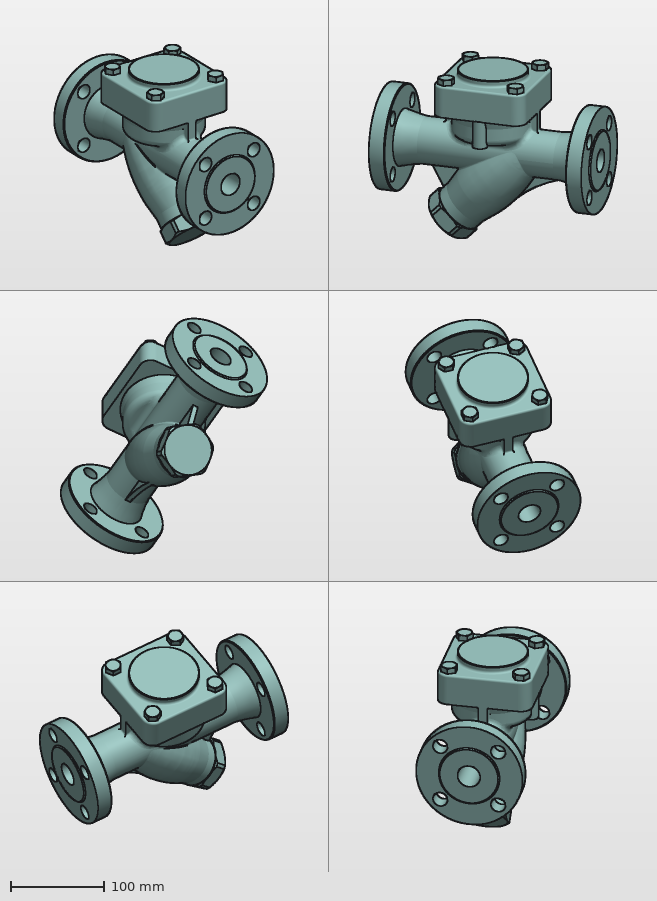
import cadquery as cq
import math

FACE_TO_FACE = 245.0
RAISED_FACE_HEIGHT = 1.5
RAISED_FACE_TIP_DIAMETER = 64.0
RAISED_FACE_ROOT_DIAMETER = 67.0
FLANGE_DIAMETER = 117.0
FLANGE_THICKNESS = 18.0
FLANGE_CHAMFER = 1.0
BOLT_HOLE_DIAMETER = 16.0
BOLT_HOLE_CIRCLE_DIAMETER = 90.0
BORE_DIAMETER = 25.0
PIPE_DIAMETER = 52.0
HUB_DIAMETER = 63.0
HUB_LENGTH = 25.5
HUB_SAG = 0.6

BONNET_SIZE = 104.0
BONNET_BOTTOM_Z = 47.3
BONNET_TOP_Z = 82.3
BONNET_CORNER_RADIUS = 13.0
BONNET_EDGE_FILLET = 2.5
DISK_DIAMETER = 76.0
DISK_TOP_Z = 90.0
DISK_CHAMFER = 0.75
DISK_ROOT_FILLET = 3.0
SCREW_CIRCLE_DIAMETER = 112.0
SCREW_ACROSS_FLATS = 16.0
SCREW_HEAD_HEIGHT = 6.5
SCREW_CHAMFER_HEIGHT = 0.6
SCREW_TURN = 30.0

BOWL_RIM_RADIUS = 47.0
BOWL_RADIUS = 44.5
BOWL_TAPER_END_Z = 36.8
BOWL_BOTTOM_Z = 15.8
BOWL_CORNER_RADIUS = 8.2
BOWL_ROOT_FILLET = 6.3
BOWL_RIB_WIDTH = 10.0
BOWL_RIB_FILLET = 2.0
REAR_BOSS_RADIUS = 8.0
REAR_BOSS_REACH = 50.2

ARM_ORIGIN_X = -34.0
ARM_ANGLE = 45.0
ARM_START = -6.0
ARM_START_RADIUS = 25.0
ARM_BELLY = 45.0
ARM_BELLY_RADIUS = 33.5
ARM_ROOT_FILLET = 1.5
ARM_NECK = 91.0
ARM_NECK_DIAMETER = 56.0
CAP_START = 103.8
CAP_LENGTH = 17.8
CAP_DIAMETER = 60.0
CAP_ACROSS_FLATS = 54.0
CAP_END_CHAMFER = 2.5
CAP_BASE_CHAMFER = 1.5

WEB_THICKNESS = 6.0
REAR_WEB_START_X = -78.0
REAR_WEB_MID = (-43.5, -41.5)
REAR_WEB_END = (-21.0, -59.7)
FRONT_WEB_START_X = 68.2
FRONT_WEB_TIP = (55.4, -49.5)

POSITION_TOLERANCE = 0.05
SAMPLE_PLACE = 0.37

PIPE_RADIUS = PIPE_DIAMETER / 2
FLANGE_BACK_X = FACE_TO_FACE / 2 - RAISED_FACE_HEIGHT - FLANGE_THICKNESS
HUB_END_X = FLANGE_BACK_X - HUB_LENGTH


def revolve_about_z(profile):
    """Close a radius-height outline and turn it about the Z axis."""
    return profile.close().revolve(360, (0, 0, 0), (0, 1, 0))


def hexagon(across_flats, height):
    """Hexagonal prism with corners on the X axis."""
    return cq.Workplane("XY").polygon(6, across_flats / math.cos(math.pi / 6)).extrude(height)


def pipe_end():
    """Half of the pipe run on the +X side, with its hub and flange."""
    hub_radius = HUB_DIAMETER / 2
    hub_mid = (FLANGE_BACK_X - HUB_LENGTH / 2, (hub_radius + PIPE_RADIUS) / 2 - HUB_SAG)
    face_x = FACE_TO_FACE / 2 - RAISED_FACE_HEIGHT
    flange_radius = FLANGE_DIAMETER / 2
    body = (
        cq.Workplane("XY")
        .moveTo(0, 0)
        .lineTo(0, PIPE_RADIUS)
        .lineTo(HUB_END_X, PIPE_RADIUS)
        .threePointArc(hub_mid, (FLANGE_BACK_X, hub_radius))
        .lineTo(FLANGE_BACK_X, flange_radius - FLANGE_CHAMFER)
        .lineTo(FLANGE_BACK_X + FLANGE_CHAMFER, flange_radius)
        .lineTo(face_x, flange_radius)
        .lineTo(face_x, RAISED_FACE_ROOT_DIAMETER / 2)
        .lineTo(FACE_TO_FACE / 2, RAISED_FACE_TIP_DIAMETER / 2)
        .lineTo(FACE_TO_FACE / 2, 0)
        .close()
        .revolve(360, (0, 0, 0), (1, 0, 0))
    )
    hole_offset = BOLT_HOLE_CIRCLE_DIAMETER / math.sqrt(2)
    holes = (
        cq.Workplane("YZ", origin=(FLANGE_BACK_X, 0, 0))
        .rect(hole_offset, hole_offset, forConstruction=True)
        .vertices()
        .circle(BOLT_HOLE_DIAMETER / 2)
        .extrude(FLANGE_THICKNESS)
    )
    return body.cut(holes)


def pipe_bore():
    """Blind bore through the flange and hub on the +X side."""
    bore_length = FACE_TO_FACE / 2 - HUB_END_X
    return cq.Workplane("YZ", origin=(HUB_END_X, 0, 0)).circle(BORE_DIAMETER / 2).extrude(bore_length)


def bowl():
    """Bowl that carries the bonnet: tapered rim, straight wall and rounded bottom."""
    corner_z = BOWL_BOTTOM_Z + BOWL_CORNER_RADIUS
    corner_r = BOWL_RADIUS - BOWL_CORNER_RADIUS
    diagonal = BOWL_CORNER_RADIUS / math.sqrt(2)
    return revolve_about_z(
        cq.Workplane("XZ")
        .moveTo(0, BOWL_BOTTOM_Z)
        .lineTo(corner_r, BOWL_BOTTOM_Z)
        .threePointArc((corner_r + diagonal, corner_z - diagonal), (BOWL_RADIUS, corner_z))
        .lineTo(BOWL_RADIUS, BOWL_TAPER_END_Z)
        .lineTo(BOWL_RIM_RADIUS, BONNET_BOTTOM_Z)
        .lineTo(0, BONNET_BOTTOM_Z)
    )


def bowl_supports():
    """Rib across the bowl that reaches both bonnet sides, and the round boss at the back."""
    rib = cq.Workplane("XY").rect(BONNET_SIZE, BOWL_RIB_WIDTH).extrude(BONNET_BOTTOM_Z)
    boss = (
        cq.Workplane("XY", origin=(0, REAR_BOSS_REACH - REAR_BOSS_RADIUS, BOWL_BOTTOM_Z))
        .circle(REAR_BOSS_RADIUS)
        .extrude(BONNET_BOTTOM_Z - BOWL_BOTTOM_Z)
    )
    return rib.union(boss)


def bonnet():
    """Square bonnet with the raised round disk on top."""
    block = (
        cq.Workplane("XY", origin=(0, 0, BONNET_BOTTOM_Z))
        .rect(BONNET_SIZE, BONNET_SIZE)
        .extrude(BONNET_TOP_Z - BONNET_BOTTOM_Z)
        .edges("|Z")
        .fillet(BONNET_CORNER_RADIUS)
        .faces(">Z")
        .edges()
        .fillet(BONNET_EDGE_FILLET)
    )
    radius = DISK_DIAMETER / 2
    root = DISK_ROOT_FILLET
    sag = root * (1 - math.sqrt(0.5))
    disk = revolve_about_z(
        cq.Workplane("XZ")
        .moveTo(0, BONNET_TOP_Z)
        .lineTo(radius + root, BONNET_TOP_Z)
        .threePointArc((radius + sag, BONNET_TOP_Z + sag), (radius, BONNET_TOP_Z + root))
        .lineTo(radius, DISK_TOP_Z - DISK_CHAMFER)
        .lineTo(radius - DISK_CHAMFER, DISK_TOP_Z)
        .lineTo(0, DISK_TOP_Z)
    )
    return block.union(disk)


def screw_head(x_side, y_side):
    """Hexagon head on one bonnet corner; diagonal neighbours share the same turn."""
    flat_radius = SCREW_ACROSS_FLATS / 2
    corner_radius = flat_radius / math.cos(math.pi / 6)
    envelope = revolve_about_z(
        cq.Workplane("XZ")
        .moveTo(0, 0)
        .lineTo(corner_radius, 0)
        .lineTo(corner_radius, SCREW_HEAD_HEIGHT - SCREW_CHAMFER_HEIGHT)
        .lineTo(flat_radius, SCREW_HEAD_HEIGHT)
        .lineTo(0, SCREW_HEAD_HEIGHT)
    )
    turn = SCREW_TURN if x_side == y_side else 0
    offset = SCREW_CIRCLE_DIAMETER / 2 / math.sqrt(2)
    return (
        hexagon(SCREW_ACROSS_FLATS, SCREW_HEAD_HEIGHT)
        .intersect(envelope)
        .rotate((0, 0, 0), (0, 0, 1), turn)
        .translate((x_side * offset, y_side * offset, BONNET_TOP_Z))
    )


def place_on_arm(solid):
    """Move a solid built along +Z onto the leaning arm axis."""
    return solid.rotate((0, 0, 0), (0, 1, 0), 90 + ARM_ANGLE).translate((ARM_ORIGIN_X, 0, 0))


def strainer_arm():
    """Barrel-shaped arm that narrows to a cylindrical neck under the cap."""
    neck_radius = ARM_NECK_DIAMETER / 2
    return place_on_arm(
        revolve_about_z(
            cq.Workplane("XZ")
            .moveTo(0, ARM_START)
            .lineTo(ARM_START_RADIUS, ARM_START)
            .spline([(ARM_BELLY_RADIUS, ARM_BELLY), (neck_radius, ARM_NECK)], includeCurrent=True)
            .lineTo(neck_radius, CAP_START)
            .lineTo(0, CAP_START)
        )
    )


def strainer_cap():
    """Hexagon cap with corners turned to a cylinder and chamfered ends."""
    radius = CAP_DIAMETER / 2
    envelope = revolve_about_z(
        cq.Workplane("XZ")
        .moveTo(0, 0)
        .lineTo(CAP_ACROSS_FLATS / 2, 0)
        .lineTo(radius, CAP_BASE_CHAMFER)
        .lineTo(radius, CAP_LENGTH - CAP_END_CHAMFER)
        .lineTo(CAP_ACROSS_FLATS / 2, CAP_LENGTH)
        .lineTo(0, CAP_LENGTH)
    )
    cap = hexagon(CAP_ACROSS_FLATS, CAP_LENGTH).intersect(envelope)
    return place_on_arm(cap.translate((0, 0, CAP_START)))


def web(outline):
    """Plate of web thickness, centred on Y = 0, from an outline in the XZ plane."""
    return outline.close().extrude(WEB_THICKNESS / 2, both=True)


def webs():
    """Curved web on the -X side of the arm and triangular web on its +X side."""
    rear = web(
        cq.Workplane("XZ")
        .moveTo(REAR_WEB_START_X, 0)
        .lineTo(REAR_WEB_START_X, -PIPE_RADIUS)
        .threePointArc(REAR_WEB_MID, REAR_WEB_END)
        .lineTo(0, 0)
    )
    front = web(
        cq.Workplane("XZ")
        .moveTo(0, 0)
        .lineTo(FRONT_WEB_START_X, 0)
        .lineTo(FRONT_WEB_START_X, -PIPE_RADIUS)
        .lineTo(*FRONT_WEB_TIP)
    )
    return rear.union(front)


def on_pipe_surface(edge):
    """True for an edge whose sample point lies on the pipe cylinder."""
    point = edge.positionAt(SAMPLE_PLACE)
    return abs(math.hypot(point.y, point.z) - PIPE_RADIUS) < POSITION_TOLERANCE


def fillet_bowl_root(body):
    """Blend the bowl into the pipe; straight stretches follow by tangency."""
    root_edges = [
        edge
        for edge in body.edges("not |X").vals()
        if on_pipe_surface(edge) and abs(edge.Center().x) < BONNET_SIZE / 2 + POSITION_TOLERANCE
    ]
    return body.newObject(root_edges).fillet(BOWL_ROOT_FILLET)


def fillet_bowl_ribs(body):
    """Blend the two ribs into the pipe, the bowl and the underside of the bonnet."""
    half_width = BOWL_RIB_WIDTH / 2
    reach = BONNET_SIZE / 2
    rib_edges = []
    for edge in body.edges().vals():
        centre = edge.Center()
        on_side = abs(abs(centre.y) - half_width) < POSITION_TOLERANCE
        between_ends = BOWL_RADIUS - half_width < abs(centre.x) < reach - POSITION_TOLERANCE
        at_end_foot = abs(abs(centre.x) - reach) < POSITION_TOLERANCE and on_pipe_surface(edge)
        if (on_side and between_ends) or at_end_foot:
            rib_edges.append(edge)
    return body.newObject(rib_edges).fillet(BOWL_RIB_FILLET)


def fillet_arm_root(body):
    """Blend the arm into the pipe along the curves where they meet."""
    highest_root_z = BOWL_BOTTOM_Z / 2
    root_edges = [
        edge
        for edge in body.edges("%BSPLINE").vals()
        if on_pipe_surface(edge) and edge.Center().z < highest_root_z
    ]
    return body.newObject(root_edges).fillet(ARM_ROOT_FILLET)


half_run = pipe_end()
pipe_run = half_run.union(half_run.mirror("YZ"))
body = fillet_bowl_root(pipe_run.union(bowl()))
body = fillet_bowl_ribs(body.union(bowl_supports()).union(bonnet()))
body = fillet_arm_root(body.union(strainer_arm()))

result = body.union(webs()).union(strainer_cap())
for x_side in (-1, 1):
    for y_side in (-1, 1):
        result = result.union(screw_head(x_side, y_side))
result = result.cut(pipe_bore()).cut(pipe_bore().mirror("YZ"))